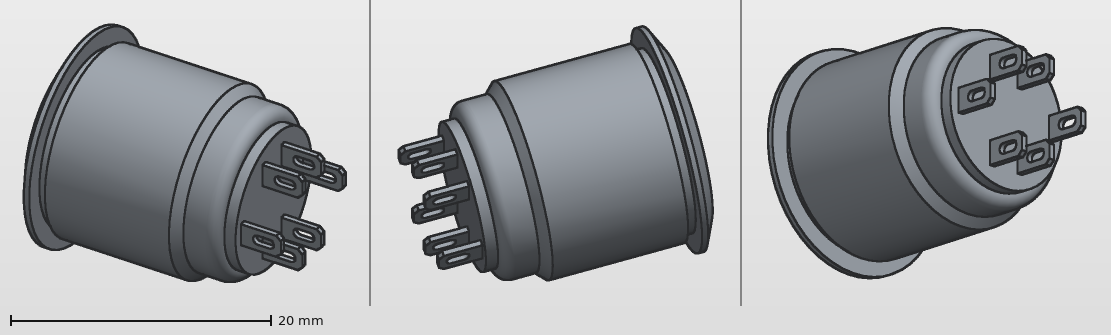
import cadquery as cq


BEVEL_END = 1.0
FLANGE_END = 1.5
NECK_END = 2.3
BODY_END = 13.22
TAPER_END = 14.05
SHOULDER_END = 17.0
BASE_END = 18.0
OVERALL_LENGTH = 21.5

FACE_DIAMETER = 14.0
FLANGE_DIAMETER = 18.0
NECK_DIAMETER = 14.8
BODY_DIAMETER = 15.9
SHOULDER_DIAMETER = 14.3
BASE_DIAMETER = 12.0
SHOULDER_FILLET = 0.99

TAB_WIDTH = 2.0
TAB_THICKNESS = 0.5
TAB_CHAMFER = 0.39
TAB_EMBED = 0.22
SLOT_LENGTH = 1.83
SLOT_WIDTH = 0.85
SLOT_CENTER = 19.97

OUTER_TAB_Y = 4.88
INNER_TAB_Y = 1.48
TAB_ROW_Z = 3.46
TAB_CENTERS = [(side * OUTER_TAB_Y, 0) for side in (-1, 1)] + [
    (side * INNER_TAB_Y, row * TAB_ROW_Z) for side in (-1, 1) for row in (-1, 1)
]


def make_housing():
    """Revolve the stepped half profile about the X axis."""
    face_radius = FACE_DIAMETER / 2
    flange_radius = FLANGE_DIAMETER / 2
    neck_radius = NECK_DIAMETER / 2
    body_radius = BODY_DIAMETER / 2
    shoulder_radius = SHOULDER_DIAMETER / 2
    base_radius = BASE_DIAMETER / 2
    profile = (
        cq.Workplane("XY")
        .moveTo(0, 0)
        .lineTo(0, face_radius)
        .lineTo(BEVEL_END, flange_radius)
        .lineTo(FLANGE_END, flange_radius)
        .lineTo(FLANGE_END, neck_radius)
        .lineTo(NECK_END, neck_radius)
        .lineTo(NECK_END, body_radius)
        .lineTo(BODY_END, body_radius)
        .lineTo(TAPER_END, shoulder_radius)
        .lineTo(SHOULDER_END - SHOULDER_FILLET, shoulder_radius)
        .radiusArc((SHOULDER_END, shoulder_radius - SHOULDER_FILLET), SHOULDER_FILLET)
        .lineTo(SHOULDER_END, base_radius)
        .lineTo(BASE_END, base_radius)
        .lineTo(BASE_END, 0)
        .close()
    )
    return profile.revolve(360, (0, 0, 0), (1, 0, 0))


def make_tab(y, z):
    """Flat slotted tab with chamfered tip corners, its root sunk into the base."""
    root = BASE_END - TAB_EMBED
    length = OVERALL_LENGTH - root
    blade = (
        cq.Workplane("XY")
        .box(length, TAB_THICKNESS, TAB_WIDTH)
        .edges(">X and |Y")
        .chamfer(TAB_CHAMFER)
        .translate((root + length / 2, 0, 0))
    )
    slot = (
        cq.Workplane("XZ")
        .center(SLOT_CENTER, 0)
        .slot2D(SLOT_LENGTH, SLOT_WIDTH)
        .extrude(TAB_THICKNESS, both=True)
    )
    return blade.cut(slot).translate((0, y, z))


result = make_housing()
for tab_y, tab_z in TAB_CENTERS:
    result = result.union(make_tab(tab_y, tab_z))